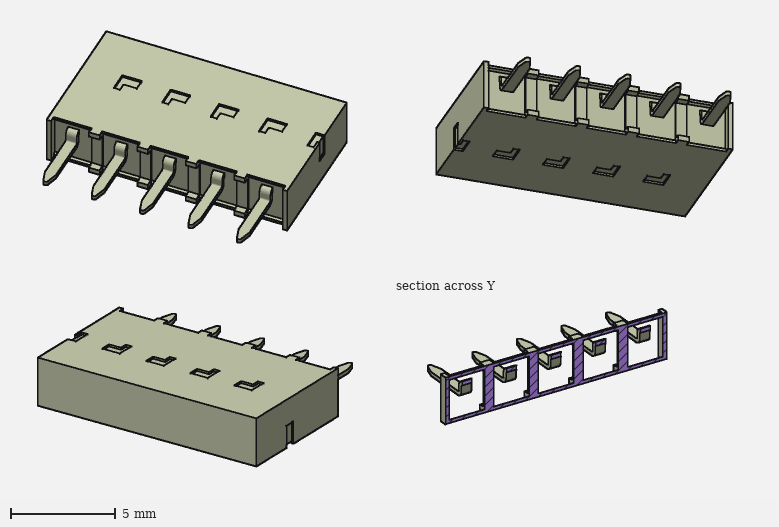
import cadquery as cq

pin_count = 5
width = 12.62
housing_length = 7.0
total_length = 9.96
height = 2.54
pin_reach = total_length - housing_length

pocket_width = 1.98
end_wall = 0.24
pitch = (width - 2 * end_wall - pocket_width) / (pin_count - 1)
rib_width = pitch - pocket_width
pocket_depth = 0.44
edge_setback = 0.32
lip_thickness = 0.14
root_thickness = 0.23
rib_tab_height = 0.28
rib_tab_bevel = 0.05
rib_setback = 0.33

mark_offset = 0.77
mark_width = 1.02
mark_stem_width = 0.33
mark_front = 3.41
mark_step = 3.82
mark_back = 4.42
mark_depth = 0.11
slot_depth = 0.09
slot_height = 1.17

pin_width = 0.58
pin_thickness = 0.23
root_level = 2.07
tail_level = 1.4
pin_top = root_level - height / 2
pin_low_top = tail_level - height / 2
pin_face = 0.15
bend_inner = 0.09
bend_outer = bend_inner + pin_thickness
taper_length = 0.65
tip_length = 0.13
tip_width = 0.27
pin_embed = 0.13
pin_root = pocket_depth + pin_embed

pin_centres = [(i - (pin_count - 1) / 2) * pitch for i in range(pin_count)]


def block(x_range, y_range, z_range):
    """Box between the given limits."""
    corner = (x_range[0], y_range[0], z_range[0])
    sizes = [limits[1] - limits[0] for limits in (x_range, y_range, z_range)]
    return cq.Workplane("XY").box(*sizes, centered=False).translate(corner)


def extrude_across(outline, x_centre, x_width):
    """Extrude a closed (Y, Z) outline symmetrically about x_centre."""
    return outline.extrude(x_width / 2, both=True).translate((x_centre, 0, 0))


def pocket(x_centre):
    """Open-ended pocket whose top and bottom walls thicken towards the floor."""
    mouth = height / 2 - lip_thickness
    root = height / 2 - root_thickness
    outline = (
        cq.Workplane("YZ")
        .moveTo(0, -height / 2)
        .lineTo(edge_setback, -height / 2)
        .lineTo(edge_setback, -mouth)
        .lineTo(pocket_depth, -root)
        .lineTo(pocket_depth, root)
        .lineTo(edge_setback, mouth)
        .lineTo(edge_setback, height / 2)
        .lineTo(0, height / 2)
        .close()
    )
    return extrude_across(outline, x_centre, pocket_width)


def rib_relief(x_centre):
    """Cut that sets the middle of a rib back between its beveled tabs."""
    mouth = height / 2 - rib_tab_height
    root = mouth - rib_tab_bevel
    outline = cq.Workplane("YZ").polyline(
        [(0, -mouth), (rib_setback, -root), (rib_setback, root), (0, mouth)]
    ).close()
    return extrude_across(outline, x_centre, rib_width)


def top_mark(x_centre):
    """L-shaped recess in the top face beside one pin."""
    left = x_centre + mark_offset
    z_range = (height / 2 - mark_depth, height / 2)
    bar = block((left, left + mark_width), (mark_step, mark_back), z_range)
    stem = block((left, left + mark_stem_width), (mark_front, mark_back), z_range)
    return bar.union(stem)


def side_slot():
    """Shallow slot in the +X side, running down from the top edge."""
    return block(
        (width / 2 - slot_depth, width / 2),
        (mark_step, mark_back),
        (height / 2 - slot_height, height / 2),
    )


def housing():
    """Housing block with pockets, ribs, marks and side slots."""
    half_width = width / 2
    body = block((-half_width, half_width), (0, housing_length), (-height / 2, height / 2))
    for x in pin_centres:
        body = body.cut(pocket(x))
    for x in pin_centres[:-1]:
        body = body.cut(rib_relief(x + pitch / 2))

    marks = side_slot()
    for x in pin_centres:
        marks = marks.union(top_mark(x))
    turned_marks = marks.rotate((0, 0, 0), (0, 1, 0), 180)
    return body.cut(marks).cut(turned_marks)


def bent_strip():
    """Constant-width strip with two right-angle bends, from root to tip."""
    pin_bottom = pin_low_top - pin_thickness
    back_face = pin_face + pin_thickness
    outline = (
        cq.Workplane("YZ")
        .moveTo(pin_root, pin_top)
        .lineTo(pin_face + bend_outer, pin_top)
        .radiusArc((pin_face, pin_top - bend_outer), -bend_outer)
        .lineTo(pin_face, pin_low_top + bend_inner)
        .radiusArc((pin_face - bend_inner, pin_low_top), bend_inner)
        .lineTo(-pin_reach, pin_low_top)
        .lineTo(-pin_reach, pin_bottom)
        .lineTo(back_face - bend_outer, pin_bottom)
        .radiusArc((back_face, pin_bottom + bend_outer), -bend_outer)
        .lineTo(back_face, pin_top - bend_outer)
        .radiusArc((back_face + bend_inner, pin_top - pin_thickness), bend_inner)
        .lineTo(pin_root, pin_top - pin_thickness)
        .close()
    )
    return extrude_across(outline, 0, pin_width)


def pin_plan():
    """Tapered plan shape of the pin with a rounded tip."""
    half = pin_width / 2
    taper_start = taper_length - pin_reach
    tip_start = tip_length - pin_reach
    return (
        cq.Workplane("XY")
        .moveTo(-half, pin_root)
        .lineTo(-half, taper_start)
        .lineTo(-tip_width / 2, tip_start)
        .threePointArc((0, -pin_reach), (tip_width / 2, tip_start))
        .lineTo(half, taper_start)
        .lineTo(half, pin_root)
        .close()
        .extrude(height / 2, both=True)
    )


pin = bent_strip().intersect(pin_plan())
result = housing()
for x in pin_centres:
    result = result.union(pin.translate((x, 0, 0)))